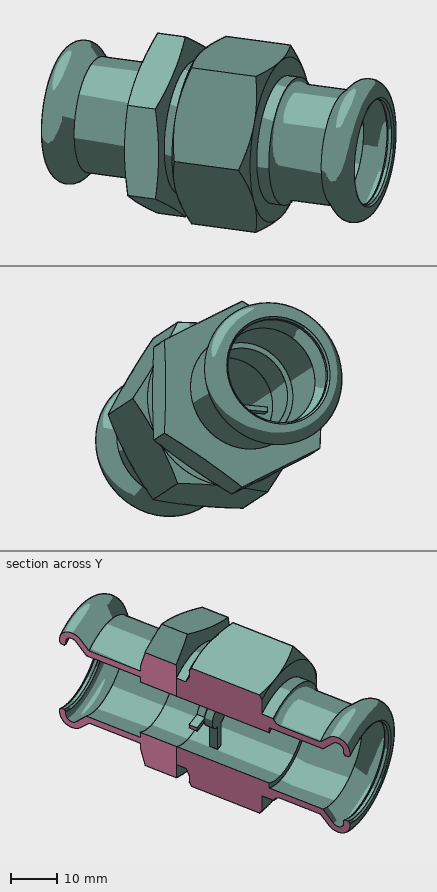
import cadquery as cq
import math


HALF_LENGTH = 36.0
TUBE_RADIUS = 12.7
SOCKET_RADIUS = 11.0
WALL = TUBE_RADIUS - SOCKET_RADIUS
BEAD_RADIUS = 3.1
BEAD_CIRCLE_RADIUS = 12.6
LIP_RADIUS = 11.5
LIP_CHAMFER = 0.4
BORE_RADIUS = 9.8
SOCKET_DEPTH = 20.0
SHOULDER_X = HALF_LENGTH - SOCKET_DEPTH

HEX_ACROSS_FLATS = 36.0
HEX_INRADIUS = HEX_ACROSS_FLATS / 2
HEX_CIRCUMRADIUS = HEX_INRADIUS / math.cos(math.radians(30))
THIN_HEX_LEFT_X = -SHOULDER_X
THIN_HEX_RIGHT_X = -7.0
THIN_HEX_FACE_RADIUS = 13.9
THIN_HEX_CHAMFER_ANGLE = 15.0
NUT_LEFT_X = -3.9
NUT_RIGHT_X = 14.2
NUT_CHAMFER_ANGLE = 30.0

LEFT_NECK_RADIUS = 14.6
LEFT_NECK_END_X = -4.7
FLARE_RADIUS = 16.1
RIGHT_NECK_RADIUS = 14.0
RIGHT_NECK_END_X = 17.0
RIGHT_NECK_FILLET = 2.0

GUIDE_LENGTH = 2.0
FRONT_GUIDE_X = NUT_LEFT_X
FRONT_HUB_RADIUS = 2.7
FRONT_SPOKE_WIDTH = 1.1
REAR_HUB_RADIUS = 3.1
REAR_SPOKE_WIDTH = 1.5
SPOKE_EMBED = 0.7


def revolve_about_x(profile):
    """Turn a closed XY profile (X along the axis, Y as radius) around the X axis."""
    return profile.close().revolve(360, (0, 0, 0), (1, 0, 0))


def cylinder_along_x(radius, start, end):
    return cq.Workplane("YZ", origin=(start, 0, 0)).circle(radius).extrude(end - start)


def socket(inner_x):
    """Press socket from its lip at -X to inner_x, with a shoulder where the pipe stops."""
    centre_x = BEAD_RADIUS - HALF_LENGTH
    groove_radius = BEAD_RADIUS - WALL
    lip_back_x = centre_x - groove_radius
    diagonal = math.sqrt(0.5)

    def on_bead(radius, along, outward):
        return (centre_x + along * radius, BEAD_CIRCLE_RADIUS + outward * radius)

    outer_tangent = on_bead(BEAD_RADIUS, diagonal, diagonal)
    inner_tangent = on_bead(groove_radius, diagonal, diagonal)
    outer_cone_end = outer_tangent[0] + outer_tangent[1] - TUBE_RADIUS
    inner_cone_end = inner_tangent[0] + inner_tangent[1] - SOCKET_RADIUS
    return revolve_about_x(
        cq.Workplane("XY")
        .moveTo(-HALF_LENGTH, LIP_RADIUS + LIP_CHAMFER)
        .lineTo(-HALF_LENGTH, BEAD_CIRCLE_RADIUS)
        .threePointArc(on_bead(BEAD_RADIUS, -diagonal, diagonal), outer_tangent)
        .lineTo(outer_cone_end, TUBE_RADIUS)
        .lineTo(inner_x, TUBE_RADIUS)
        .lineTo(inner_x, BORE_RADIUS)
        .lineTo(-SHOULDER_X, BORE_RADIUS)
        .lineTo(-SHOULDER_X, SOCKET_RADIUS)
        .lineTo(inner_cone_end, SOCKET_RADIUS)
        .lineTo(*inner_tangent)
        .threePointArc(on_bead(groove_radius, -diagonal, diagonal), on_bead(groove_radius, -1, 0))
        .lineTo(lip_back_x, LIP_RADIUS + LIP_CHAMFER)
        .lineTo(lip_back_x - LIP_CHAMFER, LIP_RADIUS)
        .lineTo(LIP_CHAMFER - HALF_LENGTH, LIP_RADIUS)
    )


def chamfered_hexagon(start, end, turn, start_radius, end_radius, angle):
    """Hexagonal prism whose corners are turned off by a cone from each end face."""
    prism = (
        cq.Workplane("YZ", origin=(start, 0, 0))
        .transformed(rotate=(0, 0, turn))
        .polygon(6, 2 * HEX_CIRCUMRADIUS)
        .extrude(end - start)
    )
    slope = math.tan(math.radians(angle))
    envelope = revolve_about_x(
        cq.Workplane("XY")
        .moveTo(start, 0)
        .lineTo(start, start_radius)
        .lineTo(start + (HEX_CIRCUMRADIUS - start_radius) * slope, HEX_CIRCUMRADIUS)
        .lineTo(end - (HEX_CIRCUMRADIUS - end_radius) * slope, HEX_CIRCUMRADIUS)
        .lineTo(end, end_radius)
        .lineTo(end, 0)
    )
    return prism.intersect(envelope)


def left_flare():
    """Cone that widens from the left neck to the flat ring on the nut's left face."""
    return revolve_about_x(
        cq.Workplane("XY")
        .moveTo(LEFT_NECK_END_X, 0)
        .lineTo(LEFT_NECK_END_X, LEFT_NECK_RADIUS)
        .lineTo(NUT_LEFT_X, FLARE_RADIUS)
        .lineTo(NUT_LEFT_X, 0)
    )


def right_neck():
    """Right neck whose end runs down to the tube in a concave fillet tangent to the tube."""
    sweep = math.acos(1 - (RIGHT_NECK_RADIUS - TUBE_RADIUS) / RIGHT_NECK_FILLET)
    fillet_end_x = RIGHT_NECK_END_X + RIGHT_NECK_FILLET * math.sin(sweep)
    middle = (
        fillet_end_x - RIGHT_NECK_FILLET * math.sin(sweep / 2),
        TUBE_RADIUS + RIGHT_NECK_FILLET * (1 - math.cos(sweep / 2)),
    )
    return revolve_about_x(
        cq.Workplane("XY")
        .moveTo(NUT_RIGHT_X, 0)
        .lineTo(NUT_RIGHT_X, RIGHT_NECK_RADIUS)
        .lineTo(RIGHT_NECK_END_X, RIGHT_NECK_RADIUS)
        .threePointArc(middle, (fillet_end_x, TUBE_RADIUS))
        .lineTo(fillet_end_x, 0)
    )


def guide(start, hub_radius, spoke_width, turn):
    """Hub held in the bore by one spoke; the spoke points along -Y, turned about +X."""
    spoke_length = BORE_RADIUS + SPOKE_EMBED
    spoke = (
        cq.Workplane("XY")
        .box(GUIDE_LENGTH, spoke_length, spoke_width, centered=(False, False, True))
        .translate((start, -spoke_length, 0))
        .rotate((0, 0, 0), (1, 0, 0), turn)
    )
    return cylinder_along_x(hub_radius, start, start + GUIDE_LENGTH).union(spoke)


def make_inlet():
    hexagon = chamfered_hexagon(
        THIN_HEX_LEFT_X, THIN_HEX_RIGHT_X, 90,
        THIN_HEX_FACE_RADIUS, HEX_INRADIUS, THIN_HEX_CHAMFER_ANGLE,
    )
    bore = cylinder_along_x(BORE_RADIUS, THIN_HEX_LEFT_X, THIN_HEX_RIGHT_X)
    return socket(THIN_HEX_RIGHT_X).union(hexagon.cut(bore))


def make_outlet():
    nut = chamfered_hexagon(
        NUT_LEFT_X, NUT_RIGHT_X, 0, HEX_INRADIUS, HEX_INRADIUS, NUT_CHAMFER_ANGLE
    )
    left_neck = cylinder_along_x(LEFT_NECK_RADIUS, THIN_HEX_RIGHT_X, LEFT_NECK_END_X)
    bore = cylinder_along_x(BORE_RADIUS, THIN_HEX_RIGHT_X, SHOULDER_X)
    socket_cavity = cylinder_along_x(SOCKET_RADIUS, SHOULDER_X, HALF_LENGTH)
    core = left_neck.union(left_flare()).union(nut).union(right_neck()).cut(bore).cut(socket_cavity)
    end_socket = socket(-NUT_RIGHT_X).mirror("YZ")
    front_guide = guide(FRONT_GUIDE_X, FRONT_HUB_RADIUS, FRONT_SPOKE_WIDTH, 0)
    rear_guide = guide(FRONT_GUIDE_X + GUIDE_LENGTH, REAR_HUB_RADIUS, REAR_SPOKE_WIDTH, 90)
    return core.union(end_socket).union(front_guide).union(rear_guide)


inlet = make_inlet()
outlet = make_outlet()

result = cq.Compound.makeCompound([inlet.val(), outlet.val()])